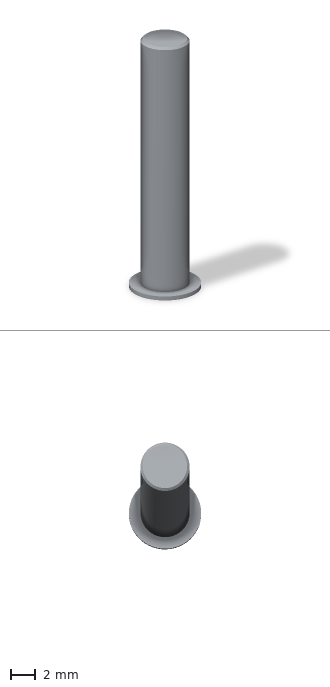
import cadquery as cq

total_height = 22.0
pin_diameter = 4.0
flange_diameter = 5.9
flange_thickness = 0.35
tip_chamfer = 0.2

flange = cq.Workplane("XY").circle(flange_diameter / 2).extrude(flange_thickness)

pin = (
    cq.Workplane("XY")
    .circle(pin_diameter / 2)
    .extrude(total_height)
    .faces(">Z")
    .chamfer(tip_chamfer)
)

result = flange.union(pin)